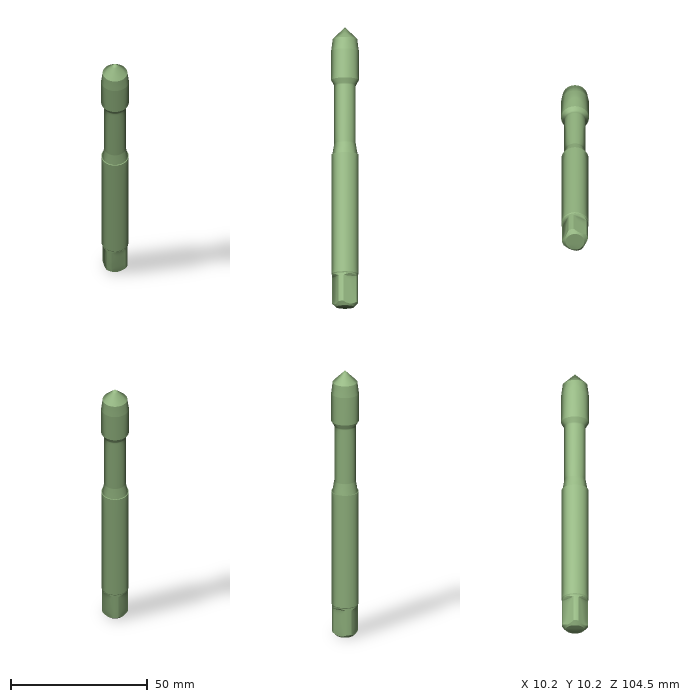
import cadquery as cq
import math

total_length = 104.53
body_length = 100.0
tip_length = total_length - body_length

shank_radius = 10.0 / 2
drive_radius = 9.6 / 2
shoulder_radius = 9.36 / 2
neck_radius = 7.88 / 2
head_radius = 10.18 / 2
tip_radius = tip_length

across_flats = 8.0
flat_length = 11.0
drive_length = 12.0
end_chamfer = 1.4

shank_chamfer_length = 0.35
shank_top = 56.85
shank_taper_angle = 10.0
head_bottom = 84.75
head_back_angle = 30.0
head_lead_length = 4.4
neck_blend_radius = 1.0


def blend_points(corner_z, angle, direction):
    """Start, middle and end of the arc from the neck (radius, Z) onto a cone.

    direction is +1 when the cone lies above the neck and -1 when it lies below.
    """
    slope = math.radians(angle)
    neck_z = corner_z - direction * neck_blend_radius * math.tan(slope / 2)

    def point_at(turn):
        radius = neck_radius + neck_blend_radius * (1 - math.cos(turn))
        return radius, neck_z + direction * neck_blend_radius * math.sin(turn)

    return point_at(0), point_at(slope / 2), point_at(slope)


def turned_body():
    """Revolved blank: drive end, shank, neck, head and pointed tip."""
    shoulder_length = (shoulder_radius - neck_radius) / math.tan(math.radians(shank_taper_angle))
    back_length = (head_radius - neck_radius) / math.tan(math.radians(head_back_angle))
    lower_start, lower_middle, lower_end = blend_points(
        shank_top + shoulder_length, shank_taper_angle, -1
    )
    upper_start, upper_middle, upper_end = blend_points(
        head_bottom - back_length, head_back_angle, 1
    )
    return (
        cq.Workplane("XZ")
        .moveTo(0, 0)
        .lineTo(drive_radius - end_chamfer, 0)
        .lineTo(drive_radius, end_chamfer)
        .lineTo(drive_radius, drive_length)
        .lineTo(shank_radius, drive_length + shank_chamfer_length)
        .lineTo(shank_radius, shank_top)
        .lineTo(shoulder_radius, shank_top)
        .lineTo(*lower_end)
        .threePointArc(lower_middle, lower_start)
        .lineTo(*upper_start)
        .threePointArc(upper_middle, upper_end)
        .lineTo(head_radius, head_bottom)
        .lineTo(head_radius, body_length - head_lead_length)
        .lineTo(tip_radius, body_length)
        .lineTo(0, total_length)
        .close()
        .revolve(360, (0, 0, 0), (0, 1, 0))
    )


def flat_cutter():
    """Cutter for the drive flat on +X, ending in a 45 degree run-out."""
    flat_x = across_flats / 2
    depth = 2 * shank_radius - flat_x
    return (
        cq.Workplane("XZ")
        .moveTo(flat_x, 0)
        .lineTo(flat_x, flat_length)
        .lineTo(flat_x + depth, flat_length + depth)
        .lineTo(flat_x + depth, 0)
        .close()
        .extrude(shank_radius, both=True)
    )


result = turned_body()
for quarter_turn in range(4):
    cutter = flat_cutter().rotate((0, 0, 0), (0, 0, 1), 90 * quarter_turn)
    result = result.cut(cutter)